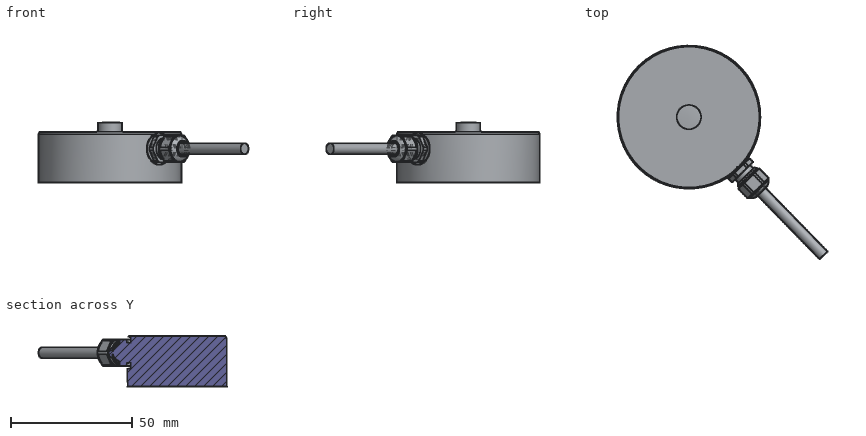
import cadquery as cq
import math

body_diameter = 59.0
body_height = 21.0
body_rim_depth = 1.0
body_rim_inset = 0.5

overall_height = 25.0
button_diameter = 10.0
button_crown_rise = 0.3
button_root_fillet = 0.5

gland_axis_angle = -45.76
gland_axis_height = 14.0

seat_diameter = 13.2
seat_distance = 28.5

base_hex_start = 29.5
base_hex_end = 31.7
collar_start = 33.7
collar_end = 34.6
nut_start = 35.35
nut_end = 40.9
dome_start = 41.4
dome_end = 42.9
cable_end = 79.52

neck_diameter = 8.6
collar_small_diameter = 9.79
collar_large_diameter = 10.9
hex_across_flats = 11.0
hex_corner_diameter = 12.1
dome_face_diameter = 6.7
dome_bulge = 0.15
cable_hole_diameter = 5.2
cable_hole_depth = 1.0
cable_diameter = 4.6


def make_body():
    """Plain disc with a chamfered upper rim."""
    disc = cq.Workplane("XY").circle(body_diameter / 2).extrude(body_height)
    return disc.faces(">Z").chamfer(body_rim_depth, body_rim_inset)


def make_button():
    """Crowned button with a concave fillet at its root, revolved about Z."""
    radius = button_diameter / 2
    root_radius = radius + button_root_fillet
    button_base = body_height - body_rim_depth
    edge_height = overall_height - button_crown_rise
    crown_radius = (radius**2 + button_crown_rise**2) / (2 * button_crown_rise)
    root_top = body_height + button_root_fillet
    profile = (
        cq.Workplane("XZ")
        .moveTo(0, button_base)
        .lineTo(root_radius, button_base)
        .lineTo(root_radius, body_height)
        .radiusArc((radius, root_top), button_root_fillet)
        .lineTo(radius, edge_height)
        .radiusArc((0, overall_height), -crown_radius)
        .close()
    )
    return profile.revolve(360, (0, 0), (0, 1))


def rod(diameter, start, end):
    """Cylinder along the local gland axis X."""
    return cq.Workplane("YZ").workplane(offset=start).circle(diameter / 2).extrude(end - start)


def rounded_hex(start, end):
    """Hexagon with flats up and down, its corners turned to a cylinder."""
    across_corners = hex_across_flats / math.cos(math.pi / 6)
    prism = cq.Workplane("YZ").workplane(offset=start).polygon(6, across_corners).extrude(end - start)
    return prism.intersect(rod(hex_corner_diameter, start, end))


def make_collar_and_dome():
    """Turned core of the gland: neck, flared collar and domed cable end."""
    neck_radius = neck_diameter / 2
    large_radius = collar_large_diameter / 2
    face_radius = dome_face_diameter / 2
    dome_middle = (
        (dome_start + dome_end) / 2 + dome_bulge,
        (large_radius + face_radius) / 2 + dome_bulge,
    )
    profile = (
        cq.Workplane("XY")
        .moveTo(seat_distance, 0)
        .lineTo(seat_distance, neck_radius)
        .lineTo(collar_start, neck_radius)
        .lineTo(collar_start, collar_small_diameter / 2)
        .lineTo(collar_end, large_radius)
        .lineTo(dome_start, large_radius)
        .threePointArc(dome_middle, (dome_end, face_radius))
        .lineTo(dome_end, 0)
        .close()
    )
    return profile.revolve(360, (0, 0), (1, 0))


def place_on_gland_axis(shape):
    """Move a shape built along X onto the inclined gland axis."""
    return shape.rotate((0, 0, 0), (0, 0, 1), gland_axis_angle).translate((0, 0, gland_axis_height))


def make_gland():
    """Base hexagon, turned core, clamping nut and cable."""
    gland = make_collar_and_dome()
    gland = gland.union(rounded_hex(base_hex_start, base_hex_end))
    gland = gland.union(rounded_hex(nut_start, nut_end))
    cable_start = dome_end - cable_hole_depth
    gland = gland.cut(rod(cable_hole_diameter, cable_start, dome_end))
    return gland.union(rod(cable_diameter, nut_start, cable_end))


seat_cutter = place_on_gland_axis(rod(seat_diameter, seat_distance, body_diameter / 2))
body = make_body().union(make_button()).cut(seat_cutter)
result = body.union(place_on_gland_axis(make_gland()))